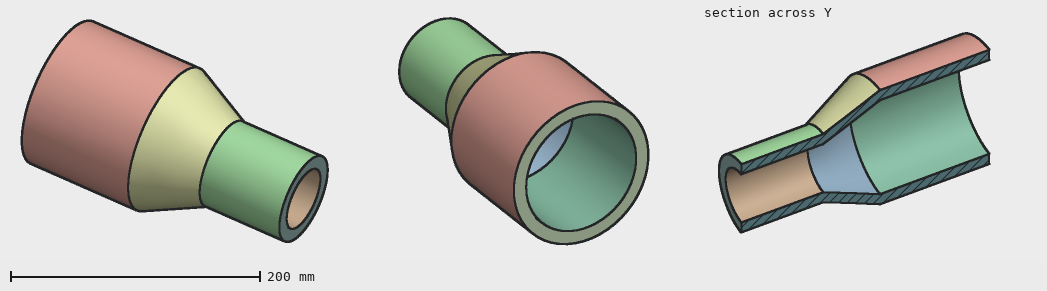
import cadquery as cq

total_length = 227.0
large_length = 100.0
small_length = 75.0
large_outer_diameter = 125.0
large_bore_diameter = 102.2
small_outer_diameter = 75.0
small_bore_diameter = 52.2

cone_start = large_length
cone_end = total_length - small_length


def stepped_cone(large_diameter, small_diameter):
    """Solid of revolution: large cylinder, cone, then small cylinder."""
    large_radius = large_diameter / 2
    small_radius = small_diameter / 2
    return (
        cq.Workplane("XY")
        .moveTo(0, 0)
        .lineTo(0, large_radius)
        .lineTo(cone_start, large_radius)
        .lineTo(cone_end, small_radius)
        .lineTo(total_length, small_radius)
        .lineTo(total_length, 0)
        .close()
        .revolve(360, (0, 0, 0), (1, 0, 0))
    )


body = stepped_cone(large_outer_diameter, small_outer_diameter)
bore = stepped_cone(large_bore_diameter, small_bore_diameter)
result = body.cut(bore)